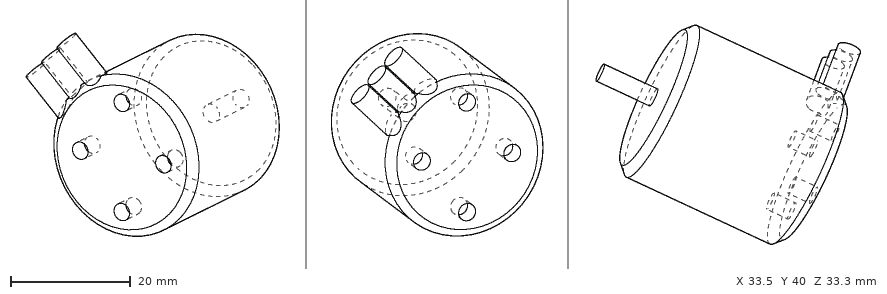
import cadquery as cq
import math

housing_diameter = 28.0
housing_length = 30.0
chamfer = 1.5

shaft_diameter = 3.15
shaft_length = 10.0

hole_diameter = 3.0
hole_depth = 4.0
hole_spacing_x = 16.0
hole_spacing_z = 19.0

wire_diameter = 4.0
wire_count = 3
wire_pitch = 4.2
wire_reach = 21.25
wire_y = 2.5
wire_row_shift = -0.1
wire_angle = 45.0


def cylinder_along_y(diameter, start_y, length, x=0.0, z=0.0):
    """Cylinder parallel to Y that runs from start_y towards +Y."""
    base = cq.Plane(origin=(x, start_y, z), xDir=(1, 0, 0), normal=(0, 1, 0))
    return cq.Workplane(base).circle(diameter / 2).extrude(length)


def make_housing_shell():
    """Outer form of the housing, chamfered at both ends."""
    return cylinder_along_y(housing_diameter, 0, housing_length).edges().chamfer(chamfer)


def make_housing():
    """Housing with its shaft and mounting holes."""
    housing = make_housing_shell().union(cylinder_along_y(shaft_diameter, housing_length, shaft_length))
    half_x = hole_spacing_x / 2
    half_z = hole_spacing_z / 2
    for x, z in [(-half_x, 0), (half_x, 0), (0, -half_z), (0, half_z)]:
        housing = housing.cut(cylinder_along_y(hole_diameter, 0, hole_depth, x, z))
    return housing


def make_wire(offset):
    """Wire moved sideways by offset, with its inner end fitted to the housing surface."""
    angle = math.radians(wire_angle)
    outward = (-math.sin(angle), 0, math.cos(angle))
    sideways = (math.cos(angle), 0, math.sin(angle))
    start = (offset * sideways[0], wire_y, offset * sideways[2])
    wire_plane = cq.Plane(origin=start, xDir=sideways, normal=outward)
    wire = cq.Workplane(wire_plane).circle(wire_diameter / 2).extrude(wire_reach)
    return wire.cut(make_housing_shell())


housing = make_housing()

wires = []
for index in range(wire_count):
    offset = (index - (wire_count - 1) / 2) * wire_pitch + wire_row_shift
    wires.append(make_wire(offset).solids().val())

result = cq.Compound.makeCompound([housing.solids().val(), *wires])